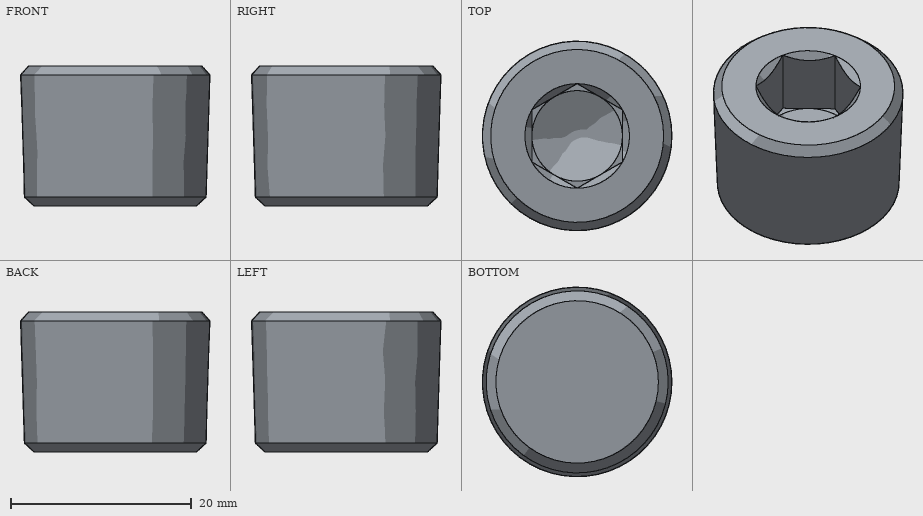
import cadquery as cq
import math

major_diameter = 20.955
height = 15.5
taper = 1 / 16
chamfer_height = 1.0
top_face_diameter = 19.1
bottom_face_diameter = 17.95

socket_flats = 10.0
socket_corners = socket_flats / math.cos(math.radians(30))
socket_depth = 8.0
drill_point_angle = 120.0
entry_angle = 90.0

major_radius = major_diameter / 2
taper_length = height - 2 * chamfer_height
minor_radius = major_radius - taper_length * taper / 2


def inverted_cone(radius, included_angle, base_z):
    """Solid cone on the Z axis with its base at base_z and its tip below."""
    tip_z = base_z - radius / math.tan(math.radians(included_angle / 2))
    return (
        cq.Workplane("XZ")
        .polyline([(0, base_z), (radius, base_z), (0, tip_z)])
        .close()
        .revolve(360, (0, 0), (0, 1))
    )


def plug_body():
    """Tapered body, widest near the top, with a chamfer at each end."""
    profile = [
        (0, 0),
        (bottom_face_diameter / 2, 0),
        (minor_radius, chamfer_height),
        (major_radius, height - chamfer_height),
        (top_face_diameter / 2, height),
        (0, height),
    ]
    return cq.Workplane("XZ").polyline(profile).close().revolve(360, (0, 0), (0, 1))


def socket():
    """Hexagonal recess with a drill-point floor and a countersunk mouth."""
    floor_z = height - socket_depth
    hexagon = (
        cq.Workplane("XY", origin=(0, 0, floor_z))
        .transformed(rotate=(0, 0, 90))
        .polygon(6, socket_corners)
        .extrude(socket_depth)
    )
    drill_point = inverted_cone(socket_flats / 2, drill_point_angle, floor_z)
    countersink = inverted_cone(socket_corners / 2, entry_angle, height)
    return hexagon.union(drill_point).union(countersink)


result = plug_body().cut(socket())